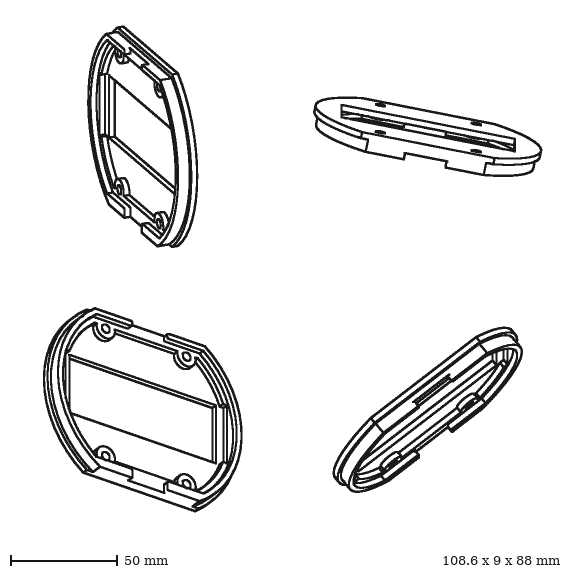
import cadquery as cq

layer = 3.0
ledge_level = 6.0
total_depth = 9.0

flange_radius = 54.3
flange_half_height = 44.0
rim_radius = 52.3
rim_top = 41.9
rim_bottom = -flange_half_height
lip_inner_radius = 49.5
lip_inner_half_height = 39.1
ledge_inner_radius = 46.6
ledge_inner_half_height = 36.2

window_half_width = 41.7
window_half_height = 15.9
relief_half_width = 46.0

boss_x = 23.0
boss_z = 35.0
boss_radius = 5.2
screw_diameter = 4.5

gap_half_width = 10.0
lip_end_fillet = 1.0
lip_end_lower_fillet = 0.3
selection_margin = 0.1


def block(half_width, bottom, top, start, end):
    """Box symmetric in X, spanning depths start to end from the back face."""
    return (
        cq.Workplane("XZ", origin=(0, -start, 0))
        .center(0, (bottom + top) / 2)
        .rect(2 * half_width, top - bottom)
        .extrude(end - start)
    )


def flat_disc(radius, bottom, top, start, end):
    """Disc cut off by flats at heights bottom and top."""
    disc = cq.Workplane("XZ", origin=(0, -start, 0)).circle(radius).extrude(end - start)
    return disc.intersect(block(radius, bottom, top, start, end))


def boss_cylinders(diameter, start, end):
    """Four cylinders on the screw pattern."""
    return (
        cq.Workplane("XZ", origin=(0, -start, 0))
        .rect(2 * boss_x, 2 * boss_z, forConstruction=True)
        .vertices()
        .circle(diameter / 2)
        .extrude(end - start)
    )


def make_ledge():
    """Lower rim step, with its pocket, window relief and bosses."""
    ledge = flat_disc(rim_radius, rim_bottom, rim_top, layer, ledge_level)
    pocket = flat_disc(
        ledge_inner_radius, -ledge_inner_half_height, ledge_inner_half_height, layer, ledge_level
    )
    relief = block(relief_half_width, -window_half_height, window_half_height, layer, ledge_level)
    bosses = boss_cylinders(2 * boss_radius, layer, ledge_level)
    pocket = pocket.intersect(
        block(relief_half_width, -ledge_inner_half_height, ledge_inner_half_height, layer, ledge_level)
    )
    return ledge.cut(pocket).cut(relief).union(bosses)


def gap_end_edges(bottom, top):
    """Selector for depthwise edges at the gap, between two heights."""
    return cq.selectors.BoxSelector(
        (-gap_half_width - selection_margin, -total_depth, bottom - selection_margin),
        (gap_half_width + selection_margin, -ledge_level, top + selection_margin),
    )


def make_lip():
    """Upper rim step, split by the gap, with rounded free ends."""
    lip = flat_disc(rim_radius, rim_bottom, rim_top, ledge_level, total_depth)
    inside = flat_disc(
        lip_inner_radius, -lip_inner_half_height, lip_inner_half_height, ledge_level, total_depth
    )
    gap = block(gap_half_width, rim_bottom, rim_top, ledge_level, total_depth)
    lip = lip.cut(inside).cut(gap)

    upper_and_inner_corners = gap_end_edges(-lip_inner_half_height, rim_top)
    lip = lip.edges("|Y").edges(upper_and_inner_corners).fillet(lip_end_fillet)
    lower_corners = gap_end_edges(rim_bottom, rim_bottom)
    return lip.edges("|Y").edges(lower_corners).fillet(lip_end_lower_fillet)


flange = flat_disc(flange_radius, -flange_half_height, flange_half_height, 0, layer)
window = block(window_half_width, -window_half_height, window_half_height, 0, layer)
screw_holes = boss_cylinders(screw_diameter, 0, ledge_level)

result = flange.cut(window).union(make_ledge()).union(make_lip()).cut(screw_holes)